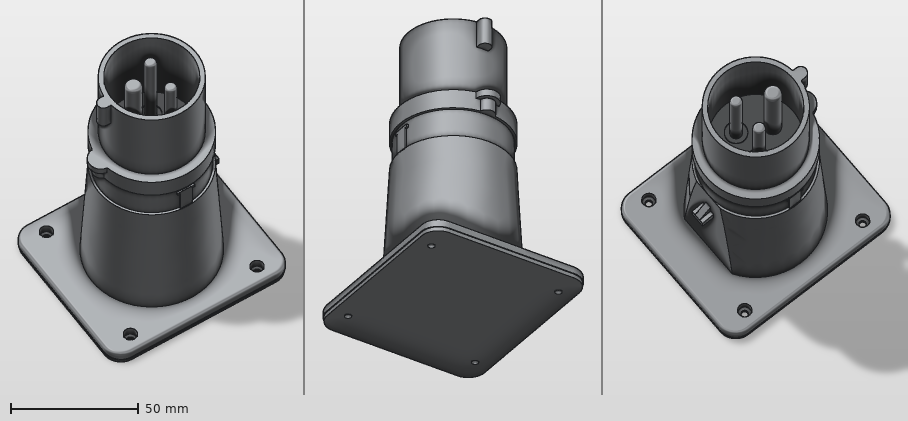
import cadquery as cq
import math

flange_length_x = 74.8
flange_length_y = 84.0
flange_corner_radius = 8.0
flange_top_z = 5.7
flange_edge_fillet = 1.6
gasket_thickness = 1.8
gasket_inset = 0.4
mount_hole_offset = 29.9
flange_hole_radius = 2.8
gasket_hole_radius = 1.5

cone_bottom_radius = 28.3
cone_top_radius = 25.1
cone_top_z = 63.0
neck_radius = 24.0

collar_radius = 25.1
collar_bottom_z = 76.1
collar_top_z = 84.7
lug_center_y = -24.0
lug_radius = 5.4
lug_bottom_z = 81.6
lug_post_radius = 3.5

sleeve_radius = 21.1
sleeve_bore_radius = 18.9
sleeve_top_z = 120.8
sleeve_floor_z = collar_top_z
key_radius = 2.7
key_tip_y = -25.5
key_bottom_z = 108.8

pin_circle_radius = 8.3
line_pin_angles = (30, 150)
line_pin_radius = 2.5
line_pin_top_z = 119.4
line_pin_nose = 1.1
line_pin_recess_radius = 4.6
line_pin_recess_depth = 0.6
earth_pin_y = -8.7
earth_pin_radius = 3.5
earth_pin_top_z = 122.0
earth_pin_nose = 1.5

tab_face_x = 24.6
tab_stem_width = 5.6
tab_head_width = 8.0
tab_head_bottom_z = 72.7
tab_top_z = 73.9

catch_width = 6.6
catch_rib_width = 2.9
catch_tip_y = 29.6
catch_bottom_z = 44.4
catch_tip_top_z = 47.2
catch_shoulder_root_z = 48.1
catch_rib_root_z = 52.1


def cylinder(radius, bottom_z, top_z, x=0, y=0):
    """Upright cylinder between two heights."""
    return cq.Workplane("XY", origin=(x, y, bottom_z)).circle(radius).extrude(top_z - bottom_z)


def box(x_range, y_range, z_range):
    """Box given by its limits along each axis."""
    (x0, x1), (y0, y1), (z0, z1) = x_range, y_range, z_range
    return cq.Workplane("XY").box(x1 - x0, y1 - y0, z1 - z0, centered=False).translate((x0, y0, z0))


def rounded_plate(inset, bottom_z, top_z):
    """Flange outline, moved inward by the inset, as an upright plate."""
    return (
        cq.Workplane("XY", origin=(0, 0, bottom_z))
        .rect(flange_length_x - 2 * inset, flange_length_y - 2 * inset)
        .extrude(top_z - bottom_z)
        .edges("|Z")
        .fillet(flange_corner_radius - inset)
    )


def mount_holes(radius, bottom_z, top_z):
    """Cutters for the four mounting holes."""
    return (
        cq.Workplane("XY", origin=(0, 0, bottom_z))
        .rect(2 * mount_hole_offset, 2 * mount_hole_offset, forConstruction=True)
        .vertices()
        .circle(radius)
        .extrude(top_z - bottom_z)
    )


def make_gasket():
    plate = rounded_plate(gasket_inset, 0, gasket_thickness)
    return plate.cut(mount_holes(gasket_hole_radius, 0, gasket_thickness))


def make_flange():
    plate = rounded_plate(0, gasket_thickness, flange_top_z).faces(">Z").edges().fillet(flange_edge_fillet)
    return plate.cut(mount_holes(flange_hole_radius, gasket_thickness, flange_top_z))


def make_cone():
    """Tapered housing with a flat at the back."""
    cone = (
        cq.Workplane("XZ")
        .moveTo(0, flange_top_z)
        .lineTo(cone_bottom_radius, flange_top_z)
        .lineTo(cone_top_radius, cone_top_z)
        .lineTo(0, cone_top_z)
        .close()
        .revolve(360, (0, 0, 0), (0, 1, 0))
    )
    beyond_flat = box(
        (-cone_bottom_radius, cone_bottom_radius),
        (neck_radius, cone_bottom_radius),
        (flange_top_z, cone_top_z),
    )
    return cone.cut(beyond_flat)


def make_catch_part(width, root_z):
    """Wedge that slopes down from the flat to the tip of the catch."""
    return (
        cq.Workplane("YZ", origin=(-width / 2, 0, 0))
        .moveTo(0, catch_bottom_z)
        .lineTo(catch_tip_y, catch_bottom_z)
        .lineTo(catch_tip_y, catch_tip_top_z)
        .lineTo(neck_radius, root_z)
        .lineTo(0, root_z)
        .close()
        .extrude(width)
    )


def make_tabs():
    """T-shaped tabs on both sides of the neck, as bars across it."""
    across = (-tab_face_x, tab_face_x)
    stem = box(across, (-tab_stem_width / 2, tab_stem_width / 2), (cone_top_z, tab_top_z))
    head = box(across, (-tab_head_width / 2, tab_head_width / 2), (tab_head_bottom_z, tab_top_z))
    return stem.union(head)


def make_collar():
    collar = cylinder(collar_radius, collar_bottom_z, collar_top_z)
    lug = cylinder(lug_radius, lug_bottom_z, collar_top_z, y=lug_center_y)
    lug_post = cylinder(lug_post_radius, collar_bottom_z, lug_bottom_z, y=lug_center_y)
    return collar.union(lug).union(lug_post)


def make_sleeve():
    """Open sleeve with a round-ended key at its rim."""
    key_center_y = key_tip_y + key_radius
    key = cylinder(key_radius, key_bottom_z, sleeve_top_z, y=key_center_y).union(
        box((-key_radius, key_radius), (key_center_y, -sleeve_bore_radius), (key_bottom_z, sleeve_top_z))
    )
    bore = cylinder(sleeve_bore_radius, sleeve_floor_z, sleeve_top_z)
    return cylinder(sleeve_radius, collar_top_z, sleeve_top_z).union(key).cut(bore)


def make_pin(radius, nose, top_z, x, y):
    """Contact pin with a rounded nose."""
    pin = cylinder(radius, collar_bottom_z, top_z, x, y)
    return pin.faces(">Z").edges().fillet(nose)


def make_plug():
    """Flange, housing, collar, sleeve and pins as one solid."""
    plug = make_flange().union(make_cone())
    plug = plug.union(make_catch_part(catch_width, catch_shoulder_root_z))
    plug = plug.union(make_catch_part(catch_rib_width, catch_rib_root_z))
    plug = plug.union(cylinder(neck_radius, cone_top_z, collar_bottom_z))
    plug = plug.union(make_tabs()).union(make_collar()).union(make_sleeve())
    for angle in line_pin_angles:
        x = pin_circle_radius * math.cos(math.radians(angle))
        y = pin_circle_radius * math.sin(math.radians(angle))
        recess_bottom_z = sleeve_floor_z - line_pin_recess_depth
        plug = plug.cut(cylinder(line_pin_recess_radius, recess_bottom_z, sleeve_floor_z, x, y))
        plug = plug.union(make_pin(line_pin_radius, line_pin_nose, line_pin_top_z, x, y))
    return plug.union(make_pin(earth_pin_radius, earth_pin_nose, earth_pin_top_z, 0, earth_pin_y))


gasket = make_gasket()
plug = make_plug()
result = cq.Compound.makeCompound([gasket.val(), plug.val()])